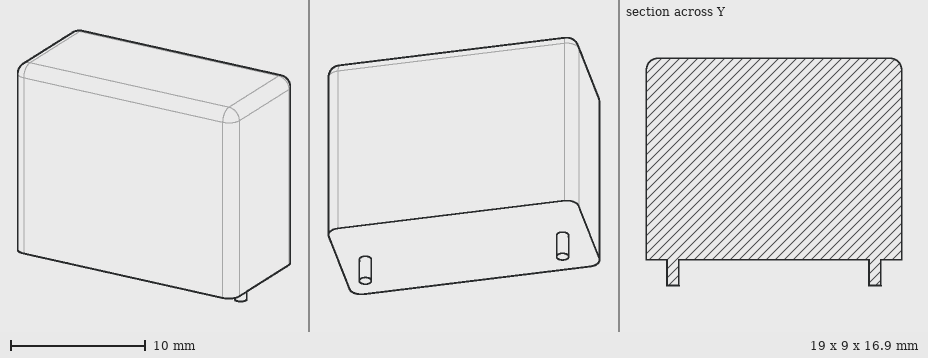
import cadquery as cq

case_length = 19.0
case_width = 9.0
case_height = 15.0
edge_radius = 0.9

lead_diameter = 0.9
lead_length = 1.9
lead_pitch = 15.0


def make_case():
    """Block with rounded vertical and top edges and a sharp bottom edge."""
    block = cq.Workplane("XY").box(
        case_length, case_width, case_height, centered=(True, True, False)
    )
    return block.edges("|Z or >Z").fillet(edge_radius)


def make_leads():
    """Two straight leads running down from the case bottom."""
    return (
        cq.Workplane("XY")
        .pushPoints([(-lead_pitch / 2, 0), (lead_pitch / 2, 0)])
        .circle(lead_diameter / 2)
        .extrude(-lead_length)
    )


result = make_case().union(make_leads())